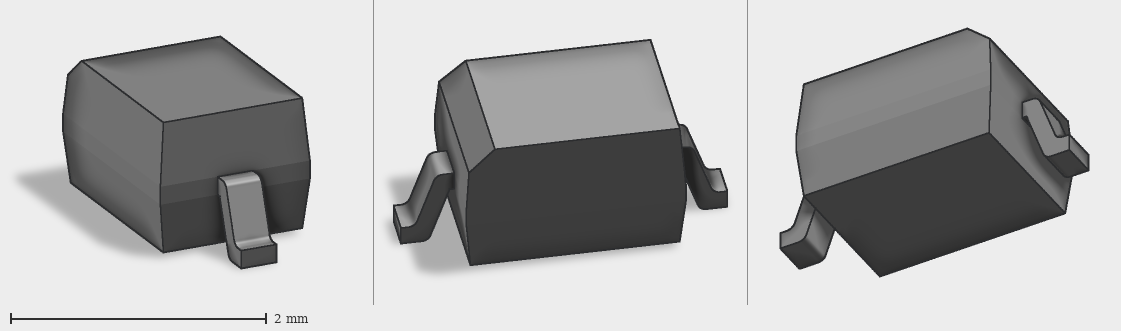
import cadquery as cq
import math

overall_length = 2.6
overall_height = 1.14
body_length = 1.75
body_width = 1.3
body_bottom = 0.047
end_inset = 0.042
side_inset = 0.047

bevel_run = 0.237
bevel_drop = 0.187

lead_thickness = 0.15
lead_width = 0.307
lead_top = 0.621
foot_length = 0.112
shoulder_start = 0.28
bend_radius = 0.075

lead_tip = -overall_length / 2
body_end = -body_length / 2
band_bottom = lead_top - lead_thickness


def drafted_block(start_z, end_z):
    """Body section from its full size at start_z to its inset outline at end_z."""
    return (
        cq.Workplane("XY")
        .workplane(offset=start_z)
        .rect(body_length, body_width)
        .workplane(offset=end_z - start_z)
        .rect(body_length - 2 * end_inset, body_width - 2 * side_inset)
        .loft(ruled=True)
    )


def bevel_cutter():
    """Wedge that removes the upper edge at the -X end."""
    upper_x = body_end + bevel_run
    upper_height = overall_height - lead_top
    lower_x = body_end + end_inset * (upper_height - bevel_drop) / upper_height
    slope = bevel_drop / (upper_x - lower_x)
    outer_x = body_end - end_inset
    outer_z = overall_height - slope * (upper_x - outer_x)
    return (
        cq.Workplane("XZ")
        .moveTo(upper_x, overall_height)
        .lineTo(outer_x, overall_height)
        .lineTo(outer_x, outer_z)
        .close()
        .extrude(body_width / 2, both=True)
    )


def make_body():
    """Moulded housing: a straight band between two drafted blocks."""
    band = (
        cq.Workplane("XY")
        .workplane(offset=band_bottom)
        .rect(body_length, body_width)
        .extrude(lead_thickness)
    )
    upper = drafted_block(lead_top, overall_height).cut(bevel_cutter())
    lower = drafted_block(band_bottom, body_bottom)
    return band.union(upper).union(lower)


def make_lead(turn):
    """Gull-wing lead at the -X end, turned about Z by the given angle."""
    foot_x = lead_tip + foot_length
    shoulder_x = lead_tip + shoulder_start
    leg_run = shoulder_x - foot_x
    leg_rise = lead_top - lead_thickness
    leg_slope = leg_rise / leg_run
    leg_width = lead_thickness * math.hypot(leg_run, leg_rise) / leg_rise
    heel_x = foot_x + leg_width - lead_thickness / leg_slope
    inner_x = shoulder_x + leg_width - lead_thickness / leg_slope
    lead = (
        cq.Workplane("XZ")
        .moveTo(lead_tip, 0)
        .lineTo(heel_x, 0)
        .lineTo(inner_x, band_bottom)
        .lineTo(body_end, band_bottom)
        .lineTo(body_end, lead_top)
        .lineTo(shoulder_x, lead_top)
        .lineTo(foot_x, lead_thickness)
        .lineTo(lead_tip, lead_thickness)
        .close()
        .extrude(lead_width / 2, both=True)
    )
    for bend_x, bend_z in ((heel_x, 0), (shoulder_x, lead_top), (foot_x, lead_thickness)):
        bend = cq.selectors.NearestToPointSelector((bend_x, 0, bend_z))
        lead = lead.edges("|Y").edges(bend).fillet(bend_radius)
    return lead.rotate((0, 0, 0), (0, 0, 1), turn)


body = make_body()
leads = [make_lead(turn) for turn in (0, 180)]

result = cq.Compound.makeCompound([body.val(), *[lead.val() for lead in leads]])